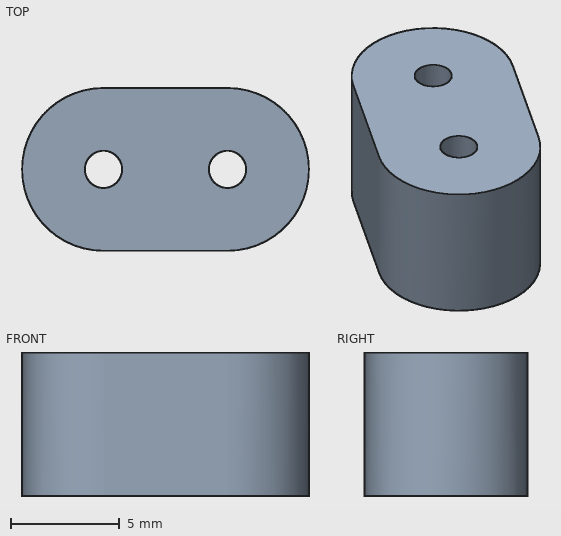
import cadquery as cq

length = 13.2
width = 7.5
height = 6.6

hole_diameter = 1.7
hole_spacing = length - width

block = cq.Workplane("XY").slot2D(length, width).extrude(height)

hole_centers = [(-hole_spacing / 2, 0), (hole_spacing / 2, 0)]
result = block.faces(">Z").workplane().pushPoints(hole_centers).hole(hole_diameter)